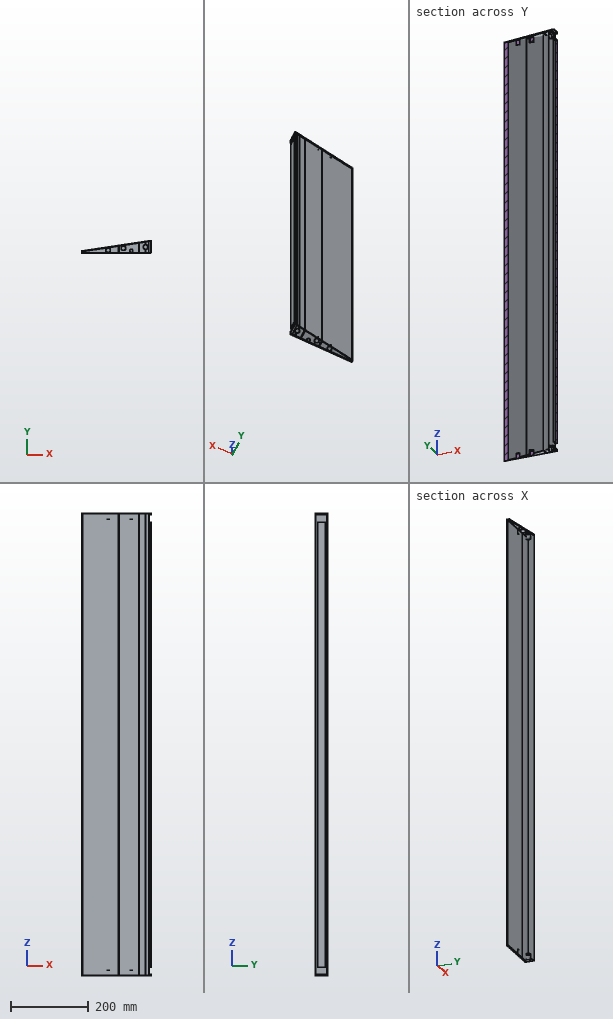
import cadquery as cq
import math

length = 1200.0
width = 180.0
back_depth = 32.0
tip_depth = 6.0
body_width = 175.0

skin = 1.8
end_plate = 1.8

tab_height = 4.0
tab_corner_radius = 5.0

strip_end_inset = 23.0
strip_front = 6.0
strip_depth = 20.0

web_thickness = 2.0
web_places = [95.0, 148.0, 165.0]

boss_length = 13.0
bosses = [(68.0, 7.8, 6.0), (108.0, 13.0, 6.0), (128.0, 6.0, 4.2), (165.0, 16.2, 6.0)]

slope = (back_depth - tip_depth) / body_width
slope_angle = math.atan(slope)


def solid_wedge():
    """Wedge outline extruded to the full length."""
    return (
        cq.Workplane("XY")
        .lineTo(body_width, 0)
        .lineTo(body_width, back_depth)
        .lineTo(0, tip_depth)
        .close()
        .extrude(length)
    )


def cavity():
    """Space inside the skins, between the two end plates."""
    sloped_skin = skin / math.cos(slope_angle)
    inner_end = body_width - skin
    return (
        cq.Workplane("XY", origin=(0, 0, end_plate))
        .moveTo(skin, skin)
        .lineTo(inner_end, skin)
        .lineTo(inner_end, tip_depth + slope * inner_end - sloped_skin)
        .lineTo(skin, tip_depth + slope * skin - sloped_skin)
        .close()
        .extrude(length - 2 * end_plate)
    )


def end_tab(bottom):
    """Tab behind the body, with its front back-corner rounded."""
    return (
        cq.Workplane("XY")
        .box(width - body_width + skin, back_depth, tab_height, centered=False)
        .translate((body_width - skin, 0, bottom))
        .edges("|Z and >X and <Y")
        .fillet(tab_corner_radius)
    )


def web(x):
    """Upright web along the full length; it is kept solid only inside the wedge."""
    return cq.Workplane("XY").box(web_thickness, back_depth, length, centered=False).translate((x, 0, 0))


def boss(x, y, radius, bottom):
    """Round boss standing against an end plate."""
    return cq.Workplane("XY", origin=(x, y, bottom)).circle(radius).extrude(boss_length)


def back_strip():
    """Strip along the back of the body."""
    return (
        cq.Workplane("XY")
        .box(width - body_width + skin, strip_depth, length - 2 * strip_end_inset, centered=False)
        .translate((body_width - skin, strip_front, strip_end_inset))
    )


inner_parts = [web(x) for x in web_places]
for boss_x, boss_y, boss_radius in bosses:
    for boss_bottom in (end_plate, length - end_plate - boss_length):
        inner_parts.append(boss(boss_x, boss_y, boss_radius, boss_bottom))

hollow = cavity()
for part in inner_parts:
    hollow = hollow.cut(part)

result = solid_wedge().cut(hollow).union(back_strip())
for tab_bottom in (0, length - tab_height):
    result = result.union(end_tab(tab_bottom))